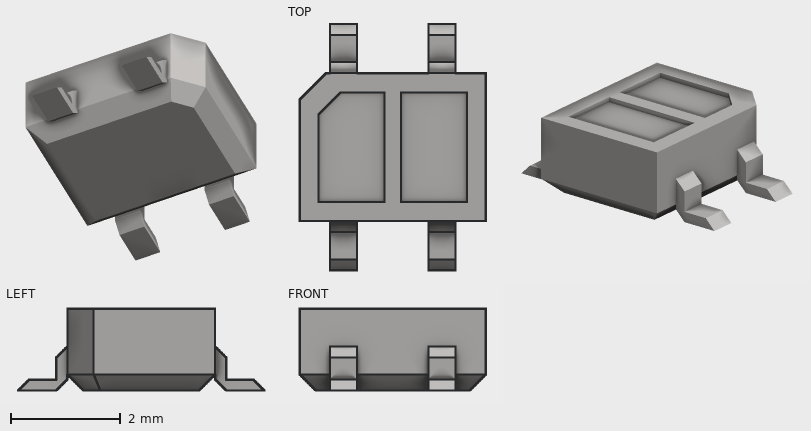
import cadquery as cq

body_width = 3.4
body_length = 2.7
body_height = 1.5
lead_span = 4.5

corner_cut = 0.48
base_chamfer = 0.295

window_width = 1.2
window_length = 2.0
window_gap = 0.3
window_depth = 0.1
window_corner_cut = 0.4

lead_width = 0.5
lead_pitch = 1.8
lead_thickness = 0.202
lead_height = 0.805


def make_window(x_sign):
    """Cutter for one shallow rectangular window, open at the top."""
    x_center = x_sign * (window_gap + window_width) / 2
    return (
        cq.Workplane("XY", origin=(x_center, 0, body_height - window_depth))
        .rect(window_width, window_length)
        .extrude(window_depth)
    )


def make_housing():
    """Block with a cut corner, a chamfered base and two windows."""
    block = cq.Workplane("XY").rect(body_width, body_length).extrude(body_height)
    block = block.edges("|Z and <X and >Y").chamfer(corner_cut)
    block = block.faces("<Z").chamfer(base_chamfer)

    left_window = make_window(-1).edges("|Z and <X and >Y").chamfer(window_corner_cut)
    right_window = make_window(1)
    return block.cut(left_window).cut(right_window)


def make_lead(x_center, y_sign):
    """Gull-wing lead that rests against a side wall of the housing."""
    inner_face = body_length / 2
    outer_face = inner_face + lead_thickness
    tip = lead_span / 2
    profile = [
        (inner_face, lead_thickness),
        (inner_face, lead_height),
        (outer_face, lead_height - lead_thickness),
        (outer_face, lead_thickness),
        (tip - lead_thickness, lead_thickness),
        (tip, 0),
        (outer_face, 0),
    ]
    points = [(y_sign * y, z) for y, z in profile]
    return (
        cq.Workplane("YZ", origin=(x_center, 0, 0))
        .polyline(points)
        .close()
        .extrude(lead_width / 2, both=True)
    )


housing = make_housing()

leads = []
for x_sign in (-1, 1):
    for y_sign in (-1, 1):
        lead = make_lead(x_sign * lead_pitch / 2, y_sign)
        leads.append(lead.val())

result = cq.Compound.makeCompound([housing.val(), *leads])